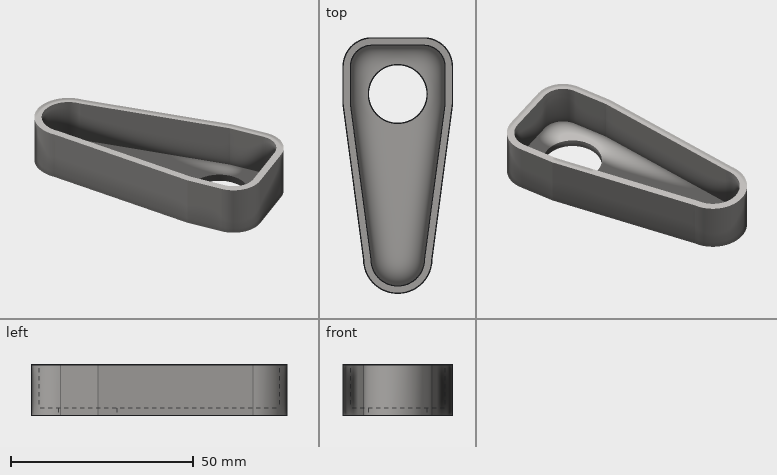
import cadquery as cq

length = 70.0
width = 30.0
height = 14.0
wall = 2.0
floor_thickness = 2.0
corner_radius = 8.0
straight_length = 18.2
tip_radius = 9.4
hole_diameter = 16.0
hole_from_end = 15.4

end_y = length - tip_radius
shoulder_y = end_y - straight_length
half_width = width / 2
hole_y = end_y - hole_from_end


def outline():
    """Closed tapered outline with a half-round tip and a square wide end."""
    return (
        cq.Workplane("XY")
        .moveTo(-tip_radius, 0)
        .threePointArc((0, -tip_radius), (tip_radius, 0))
        .lineTo(half_width, shoulder_y)
        .lineTo(half_width, end_y)
        .lineTo(-half_width, end_y)
        .lineTo(-half_width, shoulder_y)
        .close()
    )


def outer_body():
    """Solid block with the two wide-end corners rounded."""
    return outline().extrude(height).edges("|Z and >Y").fillet(corner_radius)


def add_cavity(body):
    """Hollow the block from above, leaving an even wall and a floor."""
    rim = body.faces(">Z").wires()
    cavity = rim.toPending().offset2D(-wall).extrude(floor_thickness - height, combine=False)
    return body.cut(cavity)


def add_floor_hole(body):
    """Round hole through the floor near the wide end."""
    hole = cq.Workplane("XY").center(0, hole_y).circle(hole_diameter / 2).extrude(floor_thickness)
    return body.cut(hole)


result = add_floor_hole(add_cavity(outer_body()))